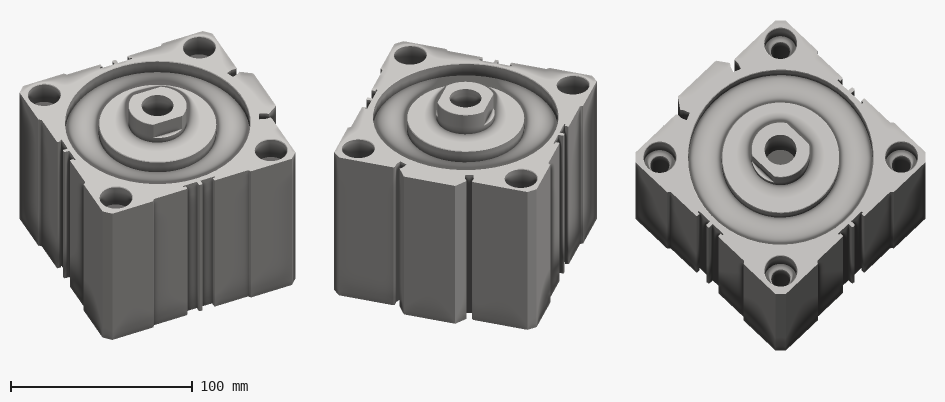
import cadquery as cq

WIDTH = 117.0
HALF = WIDTH / 2
OVERALL_DEPTH = 123.5
HOUSING_HEIGHT = 92.6
CORNER_CHAMFER = 4.1

STEP_DEPTH = 1.5
STEP_BEVEL = 1.1
STEP_HALF_LENGTH = 29.5
FACE = HALF - STEP_DEPTH
SLOT_HALF_WIDTH = 8.2
SLOT_DEPTH = 3.1
LIP_THICKNESS = 2.2
UNDERCUT = 1.5
SIDE_RIB_WIDTH = 2.2
FRONT_RIB_WIDTH = 2.1
FRONT_UNDERCUT = 1.1
SLOT_CHAMFER = 0.4

RAIL_TOP = OVERALL_DEPTH - HALF
RAIL_TOP_HALF_WIDTH = 14.8
RAIL_HALF_WIDTH = 19.4
GROOVE_OUTLINE = [
    (RAIL_HALF_WIDTH, HALF),
    (18.0, 56.9),
    (16.9, 53.6),
    (21.1, 51.9),
    (22.4, 55.0),
    (22.4, 57.9),
    (23.0, HALF),
]

BOLT_SPACING = 94.0
BOLT_RADIUS = 5.2
COUNTERBORE_RADIUS = 8.9
COUNTERBORE_DEPTH = 13.0
HOLE_CHAMFER = 0.4

RECESS_RADIUS = 50.9
RECESS_DEPTH = 8.0
BOSS_RADIUS = 32.4
BOSS_HEIGHT = 7.4
RIM_CHAMFER = 0.4

ROD_RADIUS = 16.0
ROD_CHAMFER = 0.2
ROD_TOP = 105.0
ROD_BOTTOM = 67.9
FLAT_HALF_WIDTH = 13.5
FLAT_HEIGHT = 9.6
ROD_HOLE_RADIUS = 8.8
ROD_HOLE_DEPTH = 24.7


def section_block():
    """Square block with chamfered corners."""
    block = cq.Workplane("XY").rect(WIDTH, WIDTH).extrude(HOUSING_HEIGHT)
    return block.edges("|Z").chamfer(CORNER_CHAMFER)


def side_cutter(rib_width, undercut):
    """Recess and ribbed slot for the -Y side, as one prism."""
    recess = (
        cq.Workplane("XY")
        .moveTo(-STEP_HALF_LENGTH, -HALF)
        .lineTo(STEP_HALF_LENGTH, -HALF)
        .lineTo(STEP_HALF_LENGTH, -FACE - STEP_BEVEL)
        .lineTo(STEP_HALF_LENGTH - STEP_BEVEL, -FACE)
        .lineTo(STEP_BEVEL - STEP_HALF_LENGTH, -FACE)
        .lineTo(-STEP_HALF_LENGTH, -FACE - STEP_BEVEL)
        .close()
        .extrude(HOUSING_HEIGHT)
    )
    floor = -FACE + SLOT_DEPTH
    lip_back = -FACE + LIP_THICKNESS
    wing = (
        cq.Workplane("XY")
        .moveTo(rib_width / 2 - SLOT_CHAMFER, -FACE)
        .lineTo(SLOT_HALF_WIDTH + SLOT_CHAMFER, -FACE)
        .lineTo(SLOT_HALF_WIDTH, -FACE + SLOT_CHAMFER)
        .lineTo(SLOT_HALF_WIDTH, lip_back)
        .lineTo(SLOT_HALF_WIDTH + undercut, lip_back)
        .lineTo(SLOT_HALF_WIDTH + undercut, floor)
        .lineTo(rib_width / 2, floor)
        .lineTo(rib_width / 2, -FACE + SLOT_CHAMFER)
        .close()
        .extrude(HOUSING_HEIGHT)
    )
    return recess.union(wing).union(wing.mirror("YZ"))


def rail():
    """Tapered rail standing on the +Y face."""
    return (
        cq.Workplane("XY")
        .moveTo(-RAIL_HALF_WIDTH, HALF)
        .lineTo(-RAIL_TOP_HALF_WIDTH, RAIL_TOP)
        .lineTo(RAIL_TOP_HALF_WIDTH, RAIL_TOP)
        .lineTo(RAIL_HALF_WIDTH, HALF)
        .close()
        .extrude(HOUSING_HEIGHT)
    )


def rail_groove():
    """Slanted groove on the +X side of the rail."""
    return cq.Workplane("XY").polyline(GROOVE_OUTLINE).close().extrude(HOUSING_HEIGHT)


def bolt_hole():
    """Counterbored through hole on the Z axis, chamfered at its mouth and at its step."""
    step = HOUSING_HEIGHT - COUNTERBORE_DEPTH
    return (
        cq.Workplane("XZ")
        .lineTo(BOLT_RADIUS, 0)
        .lineTo(BOLT_RADIUS, step - HOLE_CHAMFER)
        .lineTo(BOLT_RADIUS + HOLE_CHAMFER, step)
        .lineTo(COUNTERBORE_RADIUS, step)
        .lineTo(COUNTERBORE_RADIUS, HOUSING_HEIGHT - HOLE_CHAMFER)
        .lineTo(COUNTERBORE_RADIUS + HOLE_CHAMFER, HOUSING_HEIGHT)
        .lineTo(0, HOUSING_HEIGHT)
        .close()
        .revolve(360, (0, 0, 0), (0, 1, 0))
    )


def recess_ring():
    """Ring removed around the boss, with the lower boss top and chamfered rims."""
    floor = HOUSING_HEIGHT - RECESS_DEPTH
    boss_top = floor + BOSS_HEIGHT
    return (
        cq.Workplane("XZ")
        .moveTo(0, HOUSING_HEIGHT)
        .lineTo(RECESS_RADIUS + RIM_CHAMFER, HOUSING_HEIGHT)
        .lineTo(RECESS_RADIUS, HOUSING_HEIGHT - RIM_CHAMFER)
        .lineTo(RECESS_RADIUS, floor)
        .lineTo(BOSS_RADIUS, floor)
        .lineTo(BOSS_RADIUS, boss_top - RIM_CHAMFER)
        .lineTo(BOSS_RADIUS - RIM_CHAMFER, boss_top)
        .lineTo(0, boss_top)
        .close()
        .revolve(360, (0, 0, 0), (0, 1, 0))
    )


def rod_blank():
    """Plain cylinder filling the rod's full length."""
    return (
        cq.Workplane("XY", origin=(0, 0, ROD_BOTTOM))
        .circle(ROD_RADIUS)
        .extrude(ROD_TOP - ROD_BOTTOM)
    )


def make_housing():
    body = section_block().cut(side_cutter(FRONT_RIB_WIDTH, FRONT_UNDERCUT))
    for angle in (90, -90):
        cutter = side_cutter(SIDE_RIB_WIDTH, UNDERCUT)
        body = body.cut(cutter.rotate((0, 0, 0), (0, 0, 1), angle))
    groove = rail_groove()
    body = body.union(rail()).cut(groove).cut(groove.mirror("YZ"))
    for x in (-BOLT_SPACING / 2, BOLT_SPACING / 2):
        for y in (-BOLT_SPACING / 2, BOLT_SPACING / 2):
            body = body.cut(bolt_hole().translate((x, y, 0)))
    return body.cut(recess_ring()).cut(rod_blank())


def make_rod():
    """Rod with two wrench flats facing X and a blind hole in its end."""
    rod = rod_blank().faces(">Z").edges().chamfer(ROD_CHAMFER)
    flat_depth = ROD_RADIUS - FLAT_HALF_WIDTH
    for side in (-1, 1):
        flat = (
            cq.Workplane("XY", origin=(0, 0, ROD_TOP - FLAT_HEIGHT))
            .center(side * (FLAT_HALF_WIDTH + flat_depth / 2), 0)
            .rect(flat_depth, 2 * ROD_RADIUS)
            .extrude(FLAT_HEIGHT)
        )
        rod = rod.cut(flat)
    hole = (
        cq.Workplane("XY", origin=(0, 0, ROD_TOP - ROD_HOLE_DEPTH))
        .circle(ROD_HOLE_RADIUS)
        .extrude(ROD_HOLE_DEPTH)
    )
    return rod.cut(hole)


housing = make_housing()
rod = make_rod()

result = cq.Compound.makeCompound([housing.val(), rod.val()])